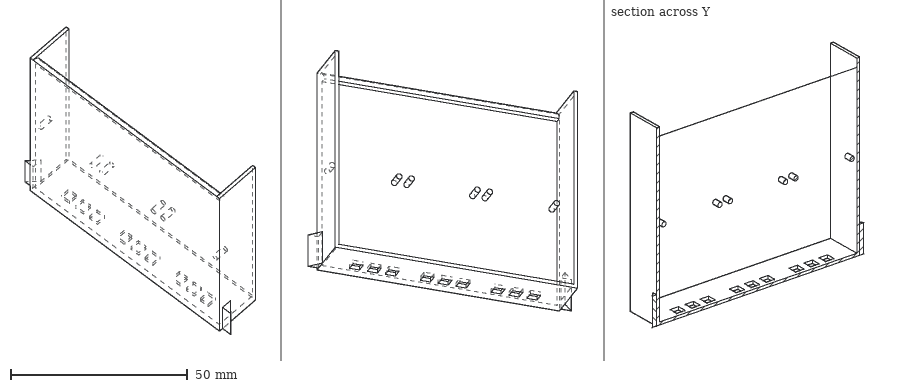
import cadquery as cq
import math

overall_width = 79.4
depth = 15.0
height = 62.7

barb_reach = 3.2
housing_width = overall_width - 2 * barb_reach
wall = 1.1
rail_size = 3.0
rail_bulge = 0.7

window_size = 3.0
window_front = 4.2
window_pitch = 5.4
group_pitch = 21.35
windows_per_group = 3
group_count = 3

peg_diameter = 1.7
peg_tip = 5.3
peg_offsets = [9.9, 13.65, 33.8]
peg_height = height / 2

barb_front = 1.3
barb_depth = 3.3
barb_height = 10.0


def box_at(width, length, tall, x_center, y_front):
    """Box standing on Z = 0, centred on x_center and starting at y_front."""
    return (
        cq.Workplane("XY")
        .box(width, length, tall, centered=(True, False, False))
        .translate((x_center, y_front, 0))
    )


def centered_positions(count, pitch):
    """Evenly spaced positions, symmetric about zero."""
    return [(i - (count - 1) / 2) * pitch for i in range(count)]


def make_top_rail():
    """Rail along the plate's top edge, with a bulging sloped back and a flat underside."""
    rail_length = housing_width - 2 * wall
    underside_z = height - rail_size
    arc_middle = rail_size / 2 + rail_bulge * math.sqrt(0.5)
    return (
        cq.Workplane("YZ")
        .moveTo(0, underside_z)
        .lineTo(rail_size, underside_z)
        .threePointArc((arc_middle, underside_z + arc_middle), (0, height))
        .close()
        .extrude(rail_length / 2, both=True)
    )


def make_front_plate():
    """Thin front plate with the rail forming its top edge."""
    lower_plate = box_at(housing_width, wall, height - rail_size, 0, 0)
    return lower_plate.union(make_top_rail())


def make_side_wall(side):
    wall_center = side * (housing_width - wall) / 2
    return box_at(wall, depth, height, wall_center, 0)


def make_windows():
    group_centers = centered_positions(group_count, group_pitch)
    window_offsets = centered_positions(windows_per_group, window_pitch)
    centers = [
        (group + offset, window_front + window_size / 2)
        for group in group_centers
        for offset in window_offsets
    ]
    return cq.Workplane("XY").pushPoints(centers).rect(window_size, window_size).extrude(wall)


def make_pegs():
    """Pegs that start inside the front plate and stand out behind it."""
    centers = [(side * offset, peg_height) for offset in peg_offsets for side in (-1, 1)]
    root_y = wall / 2
    return (
        cq.Workplane("XZ", origin=(0, root_y, 0))
        .pushPoints(centers)
        .circle(peg_diameter / 2)
        .extrude(root_y - peg_tip)
    )


def make_housing():
    floor = box_at(housing_width, depth, wall, 0, 0).cut(make_windows())
    housing = floor.union(make_front_plate())
    for side in (-1, 1):
        housing = housing.union(make_side_wall(side))
    return housing.union(make_pegs())


def make_barb(side):
    """Triangular prism with a flat front and a sloped back, lying against a side wall."""
    root_x = side * housing_width / 2
    tip_x = side * overall_width / 2
    return (
        cq.Workplane("XY")
        .moveTo(root_x, barb_front)
        .lineTo(tip_x, barb_front)
        .lineTo(root_x, barb_front + barb_depth)
        .close()
        .extrude(barb_height)
    )


housing = make_housing()
barbs = [make_barb(side) for side in (-1, 1)]

result = cq.Compound.makeCompound([housing.val(), *[barb.val() for barb in barbs]])